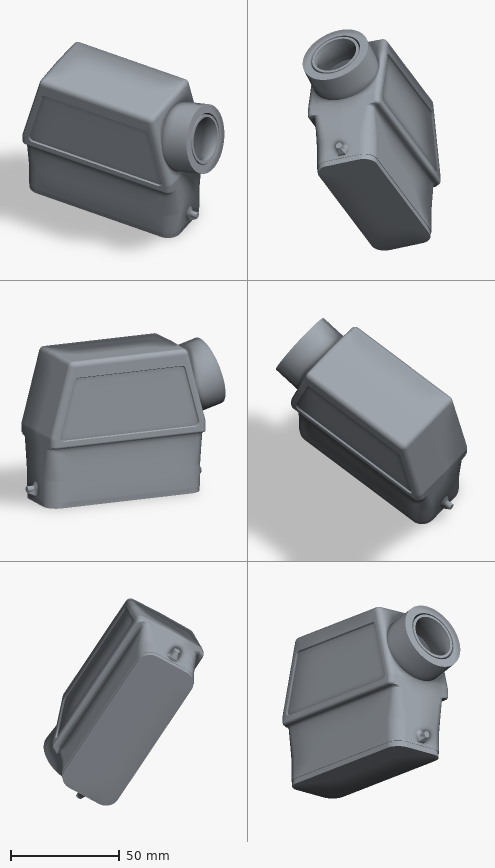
import cadquery as cq
import math

total_length = 96.8
total_width = 36.0
total_height = 70.3
half_width = total_width / 2

draft = 1.0
slope = 15.0
slope_sin = math.sin(math.radians(slope))
slope_cos = math.cos(math.radians(slope))
slope_tan = math.tan(math.radians(slope))
draft_tan = math.tan(math.radians(draft))

half_length = 39.8
knee_height = 34.4
shelf_height = 29.3
edge_radius = 2.4
knee_radius = 3.9
lip_radius = 1.2
cove_radius = 1.0
top_half_length = half_length - (total_height - knee_height) * slope_tan

lower_half_width = 14.7
skirt_height = 2.6
skirt_inset = 0.3
corner_radius = 6.4
tightening_height = 13.2
corner_bend_height = 20.3
corner_bend_radius = 4.9
tight_corner_radius = 3.2
shelf_corner_radius = 0.6
cove_stations = 4

panel_bottom = 32.7
panel_top = 62.5
panel_margin = 4.2
panel_depth = 0.8
panel_wall_inset = 0.4
panel_corner_radius = 2.1

pin_diameter = 3.0
pin_height = 6.9
pin_reach = 44.1
pin_root_reach = 40.95
pin_embed = 0.1
collar_diameter = 5.7
collar_height = 7.55
gusset_bottom = 4.0
gusset_top_width = 5.4
gusset_bottom_width = 3.5
gusset_tip_width = 1.4

entry_diameter = 32.5
entry_height = 53.8
entry_bore_diameter = 24.5
entry_depth = 13.6
entry_embed = 3.9
sleeve_outer_diameter = 23.0
sleeve_inner_diameter = 20.5
entry_reach = total_length - pin_reach - entry_diameter / 2 * slope_sin

excess = 1.9
tolerance = 0.1


def rounded_outline(points, radius, is_corner):
    """Closed wire in the XZ plane, with the corners that is_corner(x, z) accepts rounded."""
    flat = cq.Wire.makePolygon([cq.Vector(x, z, 0) for x, z in points], close=True)
    corners = [v for v in flat.Vertices() if is_corner(v.X, v.Y)]
    return flat.fillet2D(radius, corners).rotate(cq.Vector(0, 0, 0), cq.Vector(1, 0, 0), 90)


def mirrored_points(right_side):
    """Closed outline, symmetric about X = 0, from the points of its right side, bottom first."""
    return right_side + [(-x, z) for x, z in reversed(right_side)]


def fillet_edges(body, radius, wanted):
    """Round the edges that wanted(edge) accepts."""
    return body.newObject([edge for edge in body.edges().vals() if wanted(edge)]).fillet(radius)


def upper_half():
    """The -Y half of the wide upper block, drafted away from Y = 0, with rounded outer edges."""
    outline = rounded_outline(
        mirrored_points([
            (half_length, shelf_height - excess),
            (half_length, knee_height),
            (top_half_length, total_height),
        ]),
        knee_radius,
        lambda x, z: abs(z - knee_height) < tolerance,
    )
    half = cq.Workplane("XZ").add(outline).toPending().extrude(half_width, taper=draft)
    half = half.intersect(
        cq.Workplane("XY", origin=(0, 0, shelf_height)).box(
            total_length, total_length, total_height, centered=(True, True, False)
        )
    )

    def is_on_side(edge):
        return edge.Center().y < -half_width + tolerance

    def is_top_end(edge):
        runs_across = edge.BoundingBox().ylen > half_width / 2
        return runs_across and edge.Center().z > total_height - half_width * draft_tan

    def is_shelf_lip(edge):
        near_side = edge.Center().y < -half_width + edge_radius
        return near_side and edge.BoundingBox().zmax < shelf_height + tolerance

    half = fillet_edges(
        half,
        edge_radius,
        lambda edge: is_top_end(edge) or (is_on_side(edge) and not is_shelf_lip(edge)),
    )
    return fillet_edges(half, lip_radius, is_shelf_lip)


def lower_section(height, half_depth, corner):
    """Section of the lower body: drafted ends peak at Y = 0, and the four corners are rounded."""
    x_side = half_length - half_depth * draft_tan
    points = [
        (half_length, 0),
        (x_side, half_depth),
        (-x_side, half_depth),
        (-half_length, 0),
        (-x_side, -half_depth),
        (x_side, -half_depth),
    ]
    section = cq.Wire.makePolygon([cq.Vector(x, y, height) for x, y in points], close=True)
    corners = [v for v in section.Vertices() if abs(v.Y) > half_depth / 2]
    return section.fillet2D(corner, corners)


def cove_section(fraction):
    """Section of the cove, from the lower wall (fraction 0) to the shelf (fraction 1)."""
    angle = fraction * math.pi / 2
    height = shelf_height - cove_radius * (1 - math.sin(angle))
    flare = 1 - math.cos(angle)
    corner = tight_corner_radius + flare * (shelf_corner_radius - tight_corner_radius)
    return lower_section(height, lower_half_width + cove_radius * flare, corner)


def skirt():
    """Undrafted foot of the lower body, set in from the walls above it."""
    skirt_length = 2 * (half_length - skirt_inset)
    skirt_width = 2 * (lower_half_width - skirt_inset)
    base = cq.Workplane("XY").rect(skirt_length, skirt_width).extrude(skirt_height)
    return base.edges("|Z").fillet(corner_radius)


def lower_body():
    """Lower body: skirt, walls, cove under the shelf, and a plug that runs up into the block."""
    cove_half_width = lower_half_width + cove_radius
    straight_walls = [
        lower_section(z, lower_half_width, corner_radius) for z in (skirt_height, tightening_height)
    ]
    tightening_walls = [
        lower_section(tightening_height, lower_half_width, corner_radius),
        lower_section(corner_bend_height, lower_half_width, corner_bend_radius),
        cove_section(0),
    ]
    cove = [cove_section(i / cove_stations) for i in range(cove_stations + 1)]
    plug = [
        lower_section(z, cove_half_width, shelf_corner_radius)
        for z in (shelf_height, shelf_height + lip_radius)
    ]
    body = skirt().union(cq.Workplane(obj=cq.Solid.makeLoft(tightening_walls)))
    for sections in (straight_walls, cove, plug):
        body = body.union(cq.Workplane(obj=cq.Solid.makeLoft(sections, True)))
    return body


def shell_body():
    """Drafted upper block standing on the lower body."""
    half = upper_half()
    return half.union(half.mirror("XZ")).union(lower_body())


def panel_recess():
    """Cutter for the shallow sloping-walled panel in the -Y side."""
    bottom_half = half_length - panel_margin - (panel_bottom - knee_height) * slope_tan
    top_half = half_length - panel_margin - (panel_top - knee_height) * slope_tan
    outline = rounded_outline(
        mirrored_points([(bottom_half, panel_bottom), (top_half, panel_top)]),
        panel_corner_radius,
        lambda x, z: True,
    )
    wall_angle = math.degrees(math.atan2(panel_wall_inset, panel_depth))
    cutter = cq.Workplane("XZ").add(outline).toPending().extrude(-panel_depth, taper=wall_angle)
    return cutter.translate((0, -half_width, 0))


def latch_pin():
    """Pin on the +X end: a round pin on a flared collar, braced from below by a gusset."""
    wall = half_length - pin_embed
    pin = cq.Workplane("YZ", origin=(wall, 0, pin_height))
    pin = pin.circle(pin_diameter / 2).extrude(pin_reach - wall)

    collar = cq.Workplane("YZ", origin=(wall, 0, collar_height)).circle(collar_diameter / 2)
    collar = collar.workplane(offset=pin_root_reach - wall).center(0, pin_height - collar_height)
    collar = collar.circle(pin_diameter / 2).loft()

    def gusset_section(x, top_width, bottom_width, bottom):
        corners = [
            (-top_width / 2, pin_height),
            (top_width / 2, pin_height),
            (bottom_width / 2, bottom),
            (-bottom_width / 2, bottom),
        ]
        return cq.Wire.makePolygon([cq.Vector(x, y, z) for y, z in corners], close=True)

    root = gusset_section(pin_root_reach, pin_diameter, gusset_bottom_width, gusset_bottom)
    foot = gusset_section(wall, gusset_top_width, gusset_bottom_width, gusset_bottom)
    tip = gusset_section(pin_reach, gusset_tip_width, gusset_tip_width, pin_height - pin_diameter / 2)
    gusset = cq.Solid.makeLoft([foot, root, tip], True)
    return pin.union(collar).union(cq.Workplane(obj=gusset))


def entry_plane():
    """Plane on the rim of the cable entry, facing out along the entry's axis."""
    return cq.Plane(
        origin=(entry_reach, 0, entry_height),
        xDir=(0, 1, 0),
        normal=(slope_cos, 0, slope_sin),
    )


def make_hood():
    """Housing with its panels, latch pins and bored cable entry, all in one piece."""
    hood = shell_body()
    recess = panel_recess()
    hood = hood.cut(recess).cut(recess.mirror("XZ"))

    pin = latch_pin()
    hood = hood.union(pin).union(pin.mirror("YZ"))

    spigot = cq.Workplane(entry_plane()).circle(entry_diameter / 2).extrude(-entry_depth - entry_embed)
    bore = cq.Workplane(entry_plane()).circle(entry_bore_diameter / 2).extrude(-entry_depth)
    return hood.union(spigot).cut(bore).solids()


def make_sleeve():
    """Tube standing on the floor of the entry bore, flush with the rim, with a gap around it."""
    sleeve = cq.Workplane(entry_plane())
    sleeve = sleeve.circle(sleeve_outer_diameter / 2).circle(sleeve_inner_diameter / 2)
    return sleeve.extrude(-entry_depth)


hood = make_hood()
sleeve = make_sleeve()
result = cq.Compound.makeCompound([hood.val(), sleeve.val()])